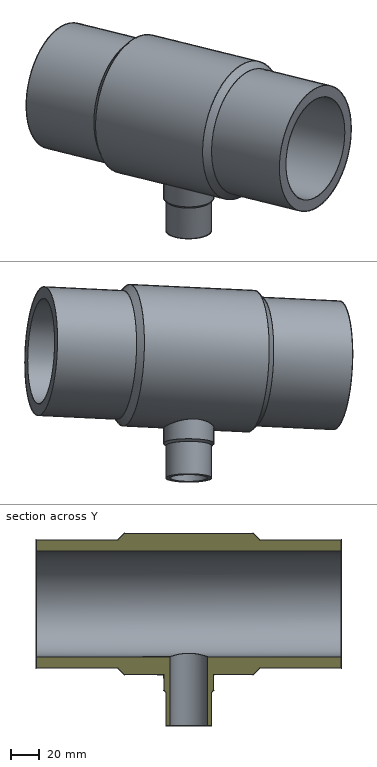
import cadquery as cq

pipe_length = 213.0
pipe_diameter = 90.0
pipe_bore = 73.6

sleeve_length = 99.0
sleeve_diameter = 99.0
sleeve_chamfer = (sleeve_diameter - pipe_diameter) / 2

branch_end = 85.0
collar_end = 62.0
collar_diameter = 35.2
spigot_diameter = 32.0
collar_chamfer = (collar_diameter - spigot_diameter) / 2
branch_bore = 26.0


def pipe_cylinder(length, diameter):
    """Cylinder along X, centred on the origin."""
    return cq.Workplane("YZ", origin=(-length / 2, 0, 0)).circle(diameter / 2).extrude(length)


def branch_cylinder(length, diameter):
    """Cylinder from the pipe axis downwards."""
    return cq.Workplane("XY").circle(diameter / 2).extrude(-length)


def make_run():
    """Solid main pipe with its sleeve, chamfered down to the pipe at both ends."""
    sleeve = pipe_cylinder(sleeve_length, sleeve_diameter)
    sleeve = sleeve.faces("<X or >X").chamfer(sleeve_chamfer)
    return pipe_cylinder(pipe_length, pipe_diameter).union(sleeve)


def make_branch():
    """Solid branch: collar chamfered down to the spigot, and the spigot."""
    collar = branch_cylinder(collar_end, collar_diameter)
    collar = collar.faces("<Z").chamfer(collar_chamfer)
    return collar.union(branch_cylinder(branch_end, spigot_diameter))


result = (
    make_run()
    .union(make_branch())
    .cut(pipe_cylinder(pipe_length, pipe_bore))
    .cut(branch_cylinder(branch_end, branch_bore))
)